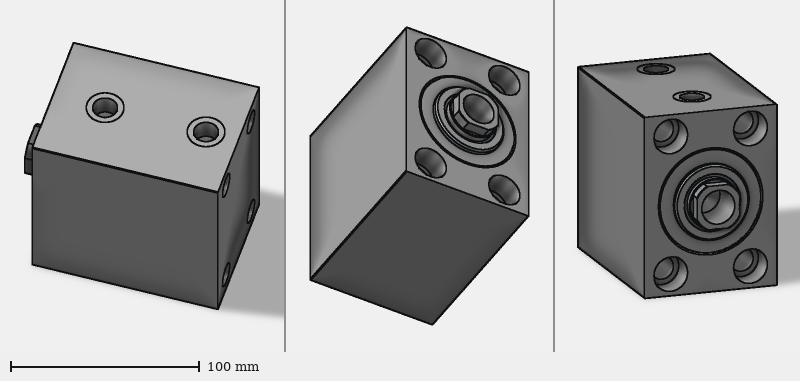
import cadquery as cq
import math


total_length = 115.0
housing_width = 75.0
housing_height = 100.0
long_edge_chamfer = 0.5

boss_length = 3.0
collar_length = 3.0
head_length = 6.0
collar_front = -(boss_length + collar_length)
rod_front = collar_front - head_length
housing_length = total_length + rod_front

mounting_spacing_y = 45.0
mounting_spacing_z = 76.0
mounting_diameter = 13.0
counterbore_diameter = 19.0
counterbore_depth = 13.8

front_port_x = 29.0
port_spacing = 56.0
port_positions = [front_port_x, front_port_x + port_spacing]
spotface_diameter = 20.0
spotface_depth = 0.1
port_diameter = 13.1
port_depth = 12.0
oil_passage_diameter = 5.0

gland_diameter = 56.9
gland_depth = 23.0
gland_seat_chamfer = 1.0
boss_diameter = 42.0
boss_chamfer = 1.0
wiper_recess_diameter = 31.6
wiper_recess_depth = 1.0

rod_diameter = 28.1
rod_chamfer = 0.5
rod_end_margin = 4.6
rod_end = port_positions[-1] + oil_passage_diameter / 2 + rod_end_margin
head_diameter = 27.0
head_chamfer = 0.2
head_across_flats = 24.0
thread_hole_diameter = 18.6
thread_hole_depth = 23.0
drill_point_angle = 118.0


def axial_cylinder(diameter, start, end):
    """Cylinder about the X axis between two stations."""
    return cq.Workplane("YZ", origin=(start, 0, 0)).circle(diameter / 2).extrude(end - start)


def axial_cone(front_diameter, back_diameter, start, length):
    """Cone about the X axis; a back diameter of zero brings it to a point."""
    cone = cq.Solid.makeCone(
        front_diameter / 2, back_diameter / 2, length, cq.Vector(start, 0, 0), cq.Vector(1, 0, 0)
    )
    return cq.Workplane(obj=cone)


def cut_mounting_holes(body):
    """Four counterbored holes running the whole length of the housing."""
    return (
        body.faces("<X")
        .workplane(origin=(0, 0, 0))
        .rect(mounting_spacing_y, mounting_spacing_z, forConstruction=True)
        .vertices()
        .cboreHole(mounting_diameter, counterbore_diameter, counterbore_depth)
    )


def cut_port(body, x):
    """Spotfaced port with a narrow passage down to the rod bore."""
    top = cq.Workplane("XY", origin=(x, 0, housing_height / 2))
    spotface = top.circle(spotface_diameter / 2).extrude(-spotface_depth)
    port = top.circle(port_diameter / 2).extrude(-port_depth)
    passage = top.circle(oil_passage_diameter / 2).extrude(-housing_height / 2)
    return body.cut(spotface).cut(port).cut(passage)


def make_housing():
    """Rectangular block with mounting holes, oil ports, a gland seat and a blind rod bore."""
    body = (
        cq.Workplane("YZ")
        .rect(housing_width, housing_height)
        .extrude(housing_length)
        .edges("|X")
        .chamfer(long_edge_chamfer)
    )
    body = cut_mounting_holes(body)
    for x in port_positions:
        body = cut_port(body, x)
    seat_mouth_diameter = gland_diameter + 2 * gland_seat_chamfer
    body = body.cut(axial_cone(seat_mouth_diameter, gland_diameter, 0, gland_seat_chamfer))
    body = body.cut(axial_cylinder(gland_diameter, 0, gland_depth))
    return body.cut(axial_cylinder(rod_diameter, 0, rod_end))


def make_gland():
    """Flush plug with a raised boss, bored for the rod."""
    boss = axial_cylinder(boss_diameter, -boss_length, 0).faces("<X").edges().chamfer(boss_chamfer)
    body = axial_cylinder(gland_diameter, 0, gland_depth).union(boss)
    body = body.cut(axial_cylinder(rod_diameter, -boss_length, gland_depth))
    recess_floor = wiper_recess_depth - boss_length
    return body.cut(axial_cylinder(wiper_recess_diameter, -boss_length, recess_floor))


def make_wrench_head():
    """Round head with a chamfered front and four wrench flats."""
    head = axial_cylinder(head_diameter, rod_front, collar_front).faces("<X").edges().chamfer(head_chamfer)
    square = (
        cq.Workplane("YZ", origin=(rod_front, 0, 0))
        .rect(head_across_flats, head_across_flats)
        .extrude(head_length)
    )
    return head.intersect(square)


def make_piston_rod():
    """Round rod with a wrench head and a pointed blind hole in its front end."""
    shaft = axial_cylinder(rod_diameter, collar_front, rod_end).faces("<X").edges().chamfer(rod_chamfer)
    rod = shaft.union(make_wrench_head())
    hole_bottom = rod_front + thread_hole_depth
    point_length = thread_hole_diameter / 2 / math.tan(math.radians(drill_point_angle / 2))
    rod = rod.cut(axial_cylinder(thread_hole_diameter, rod_front, hole_bottom))
    return rod.cut(axial_cone(thread_hole_diameter, 0, hole_bottom, point_length))


housing = make_housing()
gland = make_gland()
piston_rod = make_piston_rod()

result = cq.Compound.makeCompound([housing.solids().val(), gland.solids().val(), piston_rod.solids().val()])